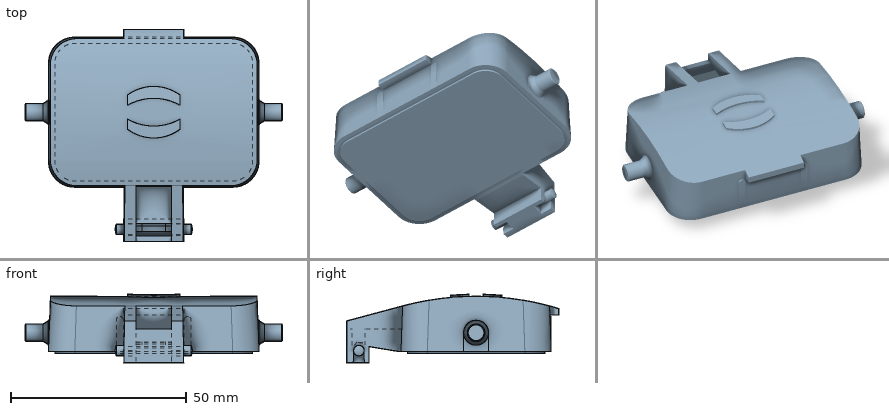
import cadquery as cq
import math

OVERALL_X = 73.4
FRONT_Y = -36.9
BACK_Y = 23.6
LEG_BOTTOM_Z = -3.2
CREST_Z = 15.8
PANEL_CREST_Z = 16.4
CLEARANCE = 1.0

BODY_X = 60.0
BODY_Y = 42.8
CORNER_RADIUS = 7.5
BODY_DRAFT = math.radians(2.0)
LIP_INSET = 1.8
LIP_DEPTH = 0.6

ROOF_SLOPE = math.radians(15.0)
ARM_END_Z = 8.76
SLOPE_LINE_AT_CENTRE_Z = ARM_END_Z - FRONT_Y * math.tan(ROOF_SLOPE)
ROOF_RADIUS = (SLOPE_LINE_AT_CENTRE_Z - CREST_Z) / (1 / math.cos(ROOF_SLOPE) - 1)
ROOF_AXIS_Z = CREST_Z - ROOF_RADIUS

ARM_HALF_X = 8.55
ARM_DRAFT = math.radians(1.1)
ARM_ROOT_Y = -22.0
LEG_BACK_Y = -30.45
LEG_TOP_Z = 1.4
TAB_BOTTOM_Z = 10.4
TROUGH_X = 10.0
TROUGH_FLOOR_Z = 6.4
WELL_BACK_Y = -31.7
WELL_FRONT_Y = -35.3

RIDGE_BACK_Z = 2.0
RIDGE_BEND_Y = -32.4
RIDGE_BEND_Z = 2.4
RIDGE_PEAK_Y = -34.0
RIDGE_PEAK_Z = 2.7
RIDGE_FRONT_Z = 1.0
RIDGE_STEP_X = 6.8
RIDGE_STEP_HEIGHT = 0.2

PIN_DIAMETER = 3.0
PIN_LENGTH = 22.0
PIN_DOME = 0.35
PIN_Y = -33.4
PIN_Z = 0.3
PIN_SLOT_MOUTH = 3.4
PIN_SLOT_FLARE = 1.1

PIVOT_Z = 5.4
PIVOT_DIAMETER = 5.0
PIVOT_CHAMFER = 0.25
COLLAR_DIAMETER = 6.5
COLLAR_OUTER_X = 31.5
COLLAR_INNER_X = 30.3
PIVOT_PAD_DIAMETER = 7.1

BACK_PAD_DIAMETER = 2.05
BACK_PAD_X = 9.65
BACK_PAD_CENTRE_Z = 9.0

PANEL_HALF_X = 7.45
PANEL_OUTER_PEAK_Y = 7.35
PANEL_OUTER_SIDE_Y = 4.9
PANEL_INNER_PEAK_Y = 3.95
PANEL_INNER_SIDE_Y = 2.0


def roof_arc_z(y):
    """Height of the roof arc at a distance y from the middle."""
    return ROOF_AXIS_Z + math.sqrt(ROOF_RADIUS**2 - y**2)


def rounded_rectangle(size_x, size_y, radius):
    return cq.Sketch().rect(size_x, size_y).vertices().fillet(radius)


def centred_box(size_x, y_min, y_max, z_min, z_max):
    return cq.Workplane("XY").box(size_x, y_max - y_min, z_max - z_min).translate(
        (0, (y_min + y_max) / 2, (z_min + z_max) / 2)
    )


def space_under_roof():
    """Everything below the roof surface, from the arm end to the tab end."""
    tangent_y = ROOF_RADIUS * math.sin(ROOF_SLOPE)
    floor_z = LEG_BOTTOM_Z - CLEARANCE
    return (
        cq.Workplane("YZ")
        .moveTo(FRONT_Y, floor_z)
        .lineTo(FRONT_Y, ARM_END_Z)
        .lineTo(-tangent_y, roof_arc_z(tangent_y))
        .threePointArc((0, CREST_Z), (BACK_Y, roof_arc_z(BACK_Y)))
        .lineTo(BACK_Y, floor_z)
        .close()
        .extrude(OVERALL_X / 2, both=True)
    )


def cover_block():
    """Drafted rounded block, still without the curved roof."""
    height = CREST_Z + CLEARANCE
    shrink = 2 * height * math.tan(BODY_DRAFT)
    bottom = rounded_rectangle(BODY_X, BODY_Y, CORNER_RADIUS)
    top = rounded_rectangle(BODY_X - shrink, BODY_Y - shrink, CORNER_RADIUS)
    return (
        cq.Workplane("XY")
        .placeSketch(bottom, top.moved(cq.Location(cq.Vector(0, 0, height))))
        .loft(ruled=True)
    )


def bottom_lip():
    lip = rounded_rectangle(
        BODY_X - 2 * LIP_INSET, BODY_Y - 2 * LIP_INSET, CORNER_RADIUS - LIP_INSET
    )
    return cq.Workplane("XY").placeSketch(lip).extrude(-LIP_DEPTH)


def arm_block():
    """Arm with its hanging leg; both flanks lean inward towards the top."""
    side = (
        cq.Workplane("YZ")
        .moveTo(0, 0)
        .lineTo(ARM_ROOT_Y, 0)
        .lineTo(LEG_BACK_Y, LEG_TOP_Z)
        .lineTo(LEG_BACK_Y, LEG_BOTTOM_Z)
        .lineTo(FRONT_Y, LEG_BOTTOM_Z)
        .lineTo(FRONT_Y, CREST_Z)
        .lineTo(0, CREST_Z)
        .close()
        .extrude(ARM_HALF_X, both=True)
    )
    top_half_x = ARM_HALF_X - (CREST_Z - LEG_BOTTOM_Z) * math.tan(ARM_DRAFT)
    flanks = (
        cq.Workplane("XZ")
        .polyline([
            (-ARM_HALF_X, LEG_BOTTOM_Z),
            (ARM_HALF_X, LEG_BOTTOM_Z),
            (top_half_x, CREST_Z),
            (-top_half_x, CREST_Z),
        ])
        .close()
        .extrude(-FRONT_Y)
    )
    return side.intersect(flanks)


def arm_trough():
    """Open trough along the arm, with a well down to the cross pin."""
    wall_shrink = TROUGH_FLOOR_Z * math.tan(BODY_DRAFT)
    wall_y = -BODY_Y / 2 + wall_shrink
    lean = (CREST_Z - TROUGH_FLOOR_Z) * math.tan(BODY_DRAFT)
    trough = (
        cq.Workplane("YZ")
        .polyline([
            (FRONT_Y - CLEARANCE, TROUGH_FLOOR_Z),
            (wall_y, TROUGH_FLOOR_Z),
            (wall_y + lean, CREST_Z),
            (FRONT_Y - CLEARANCE, CREST_Z),
        ])
        .close()
        .extrude(TROUGH_X / 2, both=True)
    )
    well = centred_box(TROUGH_X, WELL_FRONT_Y, WELL_BACK_Y, PIN_Z, TROUGH_FLOOR_Z)
    return trough.union(well)


def pin_slots():
    """Slots through both leg walls, open and flared at the bottom."""
    radius = PIN_DIAMETER / 2
    mouth = PIN_SLOT_MOUTH / 2
    flare_z = LEG_BOTTOM_Z + PIN_SLOT_FLARE
    slot = (
        cq.Workplane("YZ")
        .moveTo(PIN_Y - mouth, LEG_BOTTOM_Z)
        .lineTo(PIN_Y - radius, flare_z)
        .lineTo(PIN_Y - radius, PIN_Z)
        .threePointArc((PIN_Y, PIN_Z + radius), (PIN_Y + radius, PIN_Z))
        .lineTo(PIN_Y + radius, flare_z)
        .lineTo(PIN_Y + mouth, LEG_BOTTOM_Z)
        .close()
        .extrude(ARM_HALF_X, both=True)
    )
    core = centred_box(TROUGH_X, FRONT_Y, LEG_BACK_Y, LEG_BOTTOM_Z, TROUGH_FLOOR_Z)
    return slot.cut(core)


def cross_pin():
    """Pin along X with domed ends."""
    radius = PIN_DIAMETER / 2
    half = PIN_LENGTH / 2
    shoulder = half - PIN_DOME
    sphere_radius = (radius**2 + PIN_DOME**2) / (2 * PIN_DOME)
    mid_angle = math.asin(radius / sphere_radius) / 2
    mid_x = half - sphere_radius * (1 - math.cos(mid_angle))
    mid_r = sphere_radius * math.sin(mid_angle)
    return (
        cq.Workplane("XY")
        .moveTo(-half, 0)
        .threePointArc((-mid_x, mid_r), (-shoulder, radius))
        .lineTo(shoulder, radius)
        .threePointArc((mid_x, mid_r), (half, 0))
        .close()
        .revolve(360, (0, 0, 0), (1, 0, 0))
        .translate((0, PIN_Y, PIN_Z))
    )


def pin_ridge():
    """Ridge filling the well over the pin; its middle is raised and fades out at the peak."""
    def ridge(width, step):
        return (
            cq.Workplane("YZ")
            .polyline([
                (WELL_BACK_Y, PIN_Z),
                (WELL_BACK_Y, RIDGE_BACK_Z + step),
                (RIDGE_BEND_Y, RIDGE_BEND_Z + step),
                (RIDGE_PEAK_Y, RIDGE_PEAK_Z),
                (WELL_FRONT_Y, RIDGE_FRONT_Z),
                (WELL_FRONT_Y, PIN_Z),
            ])
            .close()
            .extrude(width / 2, both=True)
        )

    return ridge(TROUGH_X, 0).union(ridge(RIDGE_STEP_X, RIDGE_STEP_HEIGHT))


def round_top_pad(plane, diameter, centre_z, depth):
    """Pad standing on z = 0 with a half-round top, centred on the plane's origin."""
    radius = diameter / 2
    return (
        cq.Workplane(plane)
        .moveTo(-radius, 0)
        .lineTo(-radius, centre_z)
        .threePointArc((0, centre_z + radius), (radius, centre_z))
        .lineTo(radius, 0)
        .close()
        .extrude(depth)
    )


def right_pivot():
    """Pivot on the +X side: vertical pad, conical collar and chamfered pin."""
    pad_x = BODY_X / 2
    pin_radius = PIVOT_DIAMETER / 2
    pad = round_top_pad("YZ", PIVOT_PAD_DIAMETER, PIVOT_Z, pad_x)
    pin = (
        cq.Workplane("XY")
        .polyline([
            (0, 0),
            (0, PIVOT_PAD_DIAMETER / 2),
            (pad_x, PIVOT_PAD_DIAMETER / 2),
            (COLLAR_INNER_X, COLLAR_DIAMETER / 2),
            (COLLAR_OUTER_X, pin_radius),
            (OVERALL_X / 2 - PIVOT_CHAMFER, pin_radius),
            (OVERALL_X / 2, pin_radius - PIVOT_CHAMFER),
            (OVERALL_X / 2, 0),
        ])
        .close()
        .revolve(360, (0, 0, 0), (1, 0, 0))
        .translate((0, 0, PIVOT_Z))
    )
    return pad.union(pin)


def right_back_pad():
    """Small vertical pad on the +Y wall, beside the tab."""
    pad = round_top_pad("XZ", BACK_PAD_DIAMETER, BACK_PAD_CENTRE_Z, -BODY_Y / 2)
    return pad.translate((BACK_PAD_X, 0, 0))


def back_panel():
    """Raised crescent panel whose top is concentric with the roof arc."""
    outline = (
        cq.Workplane("XY")
        .workplane(offset=PANEL_CREST_Z / 2)
        .moveTo(-PANEL_HALF_X, PANEL_INNER_SIDE_Y)
        .lineTo(-PANEL_HALF_X, PANEL_OUTER_SIDE_Y)
        .threePointArc((0, PANEL_OUTER_PEAK_Y), (PANEL_HALF_X, PANEL_OUTER_SIDE_Y))
        .lineTo(PANEL_HALF_X, PANEL_INNER_SIDE_Y)
        .threePointArc((0, PANEL_INNER_PEAK_Y), (-PANEL_HALF_X, PANEL_INNER_SIDE_Y))
        .close()
        .extrude(PANEL_CREST_Z / 2)
    )
    top_cylinder = (
        cq.Workplane("YZ")
        .center(0, ROOF_AXIS_Z)
        .circle(PANEL_CREST_Z - ROOF_AXIS_Z)
        .extrude(PANEL_HALF_X + CLEARANCE, both=True)
    )
    return outline.intersect(top_cylinder)


tab = centred_box(2 * ARM_HALF_X, 0, BACK_Y, TAB_BOTTOM_Z, CREST_Z)

cover = cover_block().union(arm_block()).union(tab).intersect(space_under_roof())
cover = cover.cut(arm_trough()).cut(pin_slots())
cover = cover.union(bottom_lip()).union(cross_pin()).union(pin_ridge())

for feature in (right_pivot(), right_back_pad()):
    cover = cover.union(feature).union(feature.mirror("YZ"))

panel = back_panel()
result = cover.union(panel).union(panel.mirror("XZ"))